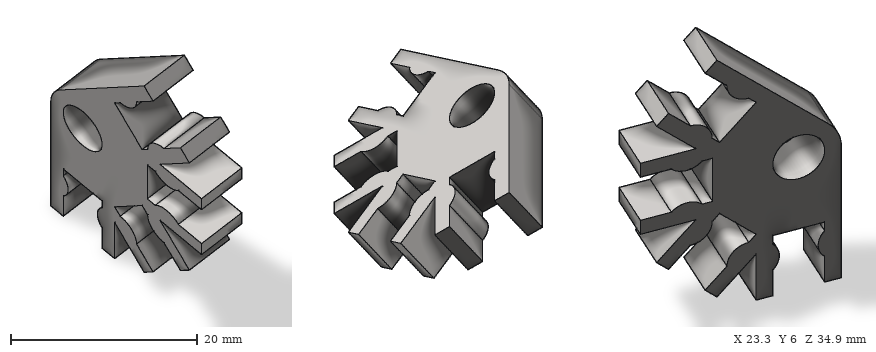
import cadquery as cq
import math

thickness = 6.0
slot_width = 6.0
arm_half_width = 4.95
arm_length = 18.38
slot_floor = 10.0
hole_diameter = 6.0
bump_position = 13.0
bump_radius = 2.5
bump_height = 0.75
arm_angles = [-90, -45, 0, 45]

slot_length = arm_length - slot_floor
bump_offset = slot_width / 2 - bump_height + bump_radius


def plate(sketch):
    """Extrude an XZ outline to the part thickness, centred on Y = 0."""
    return sketch.extrude(thickness / 2, both=True)


def bar(start, length, width):
    """Rectangular bar along +X, centred on the X axis."""
    outline = cq.Workplane("XZ").center(start + length / 2, 0).rect(length, width)
    return plate(outline)


def turned(shape, angle):
    """Turn a shape about the hub axis, from +X towards +Z."""
    return shape.rotate((0, 0, 0), (0, -1, 0), angle)


def grip_bumps():
    """Pair of round bumps facing each other, kept within the arm width."""
    centres = [(bump_position, side * bump_offset) for side in (-1, 1)]
    cylinders = plate(cq.Workplane("XZ").pushPoints(centres).circle(bump_radius))
    return cylinders.intersect(bar(0, arm_length, 2 * arm_half_width))


body = plate(cq.Workplane("XZ").circle(arm_half_width))
for angle in arm_angles:
    body = body.union(turned(bar(0, arm_length, 2 * arm_half_width), angle))

clip_slot = bar(slot_floor, slot_length, slot_width).cut(grip_bumps())
for angle in arm_angles:
    body = body.cut(turned(clip_slot, angle))

pivot_hole = plate(cq.Workplane("XZ").circle(hole_diameter / 2))
result = body.cut(pivot_hole)